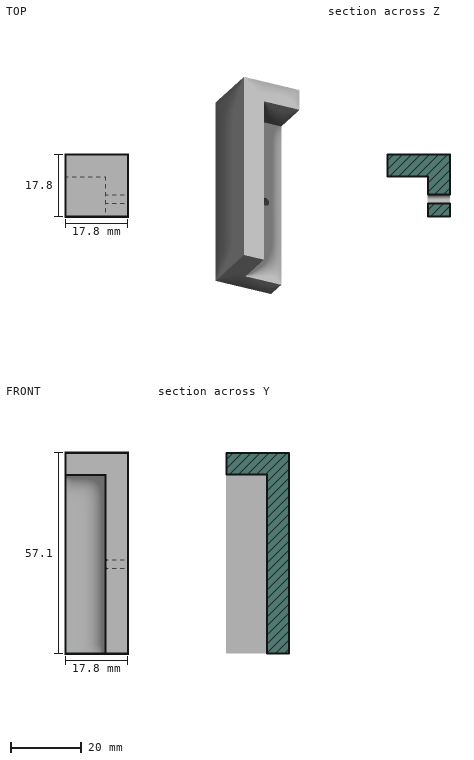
import cadquery as cq

side = 17.78
height = 57.15

wall = 6.35
pocket_width = side - wall
pocket_height = height - wall

hole_diameter = 2.4
hole_from_front = 5.08
hole_height = pocket_height / 2


def make_block():
    """Square post with one corner on the origin."""
    return cq.Workplane("XY").box(side, side, height, centered=False)


def make_corner_pocket():
    """Square prism that leaves two walls and a solid cap."""
    return cq.Workplane("XY").box(pocket_width, pocket_width, pocket_height, centered=False)


def make_cross_hole():
    """Cylinder along X that passes through the +X wall."""
    return (
        cq.Workplane("YZ")
        .center(hole_from_front, hole_height)
        .circle(hole_diameter / 2)
        .extrude(side)
    )


result = make_block().cut(make_corner_pocket()).cut(make_cross_hole())